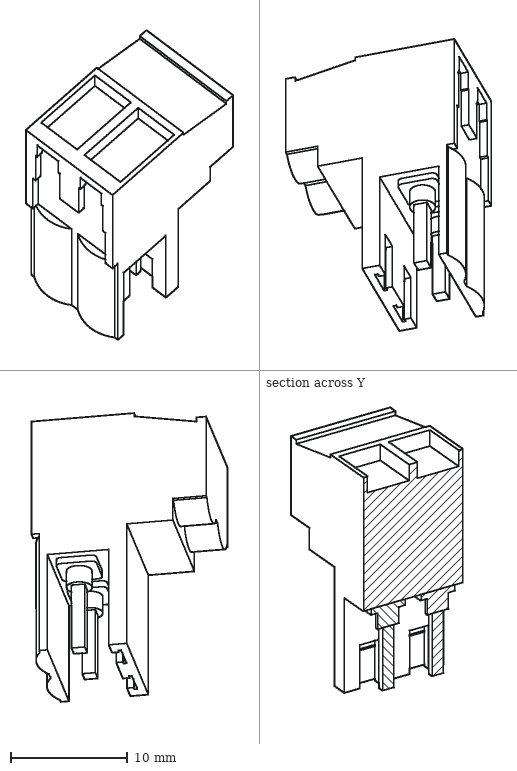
import cadquery as cq

WIDTH = 10.17
DEPTH = 15.3
HEIGHT = 22.05

POLE_COUNT = 2
POLE_PITCH = 5.07
POLE_CENTERS = [WIDTH / 2 + (i - (POLE_COUNT - 1) / 2) * POLE_PITCH for i in range(POLE_COUNT)]

LEG_FACE_Y = 0.68
FRONT_LEG_INNER_Y = 1.41
REAR_LEG_INNER_Y = 6.77
REAR_LEG_OUTER_Y = 8.35
LEG_ROOF_Z = 9.15
FRONT_LEDGE_Z = 11.22
BODY_BOTTOM_Z = 11.47
TAIL_Y = 12.4
TAIL_BOTTOM_Z = 13.54
LIP_Z = 21.15
LIP_Y = DEPTH - 0.85
SLOPE_LOW_Z = 20.75
SLOPE_HIGH_Z = 21.75
TOP_REAR_Y = 9.0

BUMP_WIDTH = 4.37
TAIL_BUMP_DROP = 1.17

POCKET_WIDTH = 4.21
POCKET_FRONT_Y = 1.48
POCKET_REAR_Y = 8.3
POCKET_DEPTH = 1.55

RECESS_WIDTH = 8.51
RECESS_SHOULDER_Z = 15.68
FINGER_WIDTH = 2.82
FINGER_STEP_Z = 19.32
FINGER_TIP_WIDTH = 2.47
FINGER_TOP_Z = 21.04
FINGER_PITCH = 5.05

SLOT_MOUTH_WIDTH = 1.9
SLOT_MOUTH_DEPTH = 0.6
SLOT_HEIGHT = 4.2
SLOT_CHAMBER_WIDTH = 2.55
SLOT_DEPTH = 0.85
CATCH_DEPTH = 1.1
CATCH_FLOOR_Z = 3.15

CONTACT_Y = 3.73
FLANGE_SIZE = 3.5
FLANGE_CORNER_RADIUS = 0.45
FLANGE_BOTTOM_Z = 8.58
COLLAR_DIAMETER = 2.2
COLLAR_BOTTOM_Z = 7.01

PIN_SIZE = 1.17
PIN_BOTTOM_Z = 0.97


def box(x0, x1, y0, y1, z0, z1):
    return cq.Workplane("XY").box(x1 - x0, y1 - y0, z1 - z0, centered=False).translate((x0, y0, z0))


def housing_block():
    profile = [
        (0, HEIGHT), (TOP_REAR_Y, HEIGHT), (TOP_REAR_Y, SLOPE_HIGH_Z), (LIP_Y, SLOPE_LOW_Z),
        (LIP_Y, LIP_Z), (DEPTH, LIP_Z), (DEPTH, TAIL_BOTTOM_Z), (TAIL_Y, TAIL_BOTTOM_Z),
        (TAIL_Y, BODY_BOTTOM_Z), (REAR_LEG_OUTER_Y, BODY_BOTTOM_Z), (REAR_LEG_OUTER_Y, 0),
        (REAR_LEG_INNER_Y, 0), (REAR_LEG_INNER_Y, LEG_ROOF_Z), (FRONT_LEG_INNER_Y, LEG_ROOF_Z),
        (FRONT_LEG_INNER_Y, 0), (LEG_FACE_Y, 0), (LEG_FACE_Y, FRONT_LEDGE_Z), (0, FRONT_LEDGE_Z),
    ]
    return cq.Workplane("YZ").polyline(profile).close().extrude(WIDTH)


def finger(x, width, top):
    return box(x - width / 2, x + width / 2, 0, LEG_FACE_Y, FRONT_LEDGE_Z, top)


def front_recess():
    recess = finger(WIDTH / 2, RECESS_WIDTH, RECESS_SHOULDER_Z)
    for side in (-1, 1):
        x = WIDTH / 2 + side * FINGER_PITCH / 2
        recess = recess.union(finger(x, FINGER_WIDTH, FINGER_STEP_Z))
        recess = recess.union(finger(x, FINGER_TIP_WIDTH, FINGER_TOP_Z))
    return recess


def front_bump(x):
    return (cq.Workplane("XY").moveTo(x - BUMP_WIDTH / 2, LEG_FACE_Y)
            .threePointArc((x, 0), (x + BUMP_WIDTH / 2, LEG_FACE_Y)).close().extrude(FRONT_LEDGE_Z))


def tail_bump(x):
    return (cq.Workplane("XZ", origin=(0, TAIL_Y, 0)).moveTo(x - BUMP_WIDTH / 2, TAIL_BOTTOM_Z)
            .threePointArc((x, TAIL_BOTTOM_Z - TAIL_BUMP_DROP), (x + BUMP_WIDTH / 2, TAIL_BOTTOM_Z))
            .close().extrude(TAIL_Y - DEPTH))


def top_pocket(x):
    return box(x - POCKET_WIDTH / 2, x + POCKET_WIDTH / 2, POCKET_FRONT_Y, POCKET_REAR_Y,
               HEIGHT - POCKET_DEPTH, HEIGHT)


def slot_part(x, width, depth_start, depth_end, bottom):
    return box(x - width / 2, x + width / 2, REAR_LEG_INNER_Y + depth_start,
               REAR_LEG_INNER_Y + depth_end, bottom, SLOT_HEIGHT)


def leg_slot(x):
    mouth = slot_part(x, SLOT_MOUTH_WIDTH, 0, SLOT_MOUTH_DEPTH, 0)
    chamber = slot_part(x, SLOT_CHAMBER_WIDTH, SLOT_MOUTH_DEPTH, SLOT_DEPTH, 0)
    catch = slot_part(x, SLOT_CHAMBER_WIDTH, SLOT_DEPTH, CATCH_DEPTH, CATCH_FLOOR_Z)
    return mouth.union(chamber).union(catch)


def make_housing():
    body = housing_block().cut(front_recess())
    for x in POLE_CENTERS:
        body = body.union(front_bump(x)).union(tail_bump(x))
        body = body.cut(top_pocket(x)).cut(leg_slot(x))
    return body


def make_sleeve(x):
    flange = (cq.Workplane("XY", origin=(x, CONTACT_Y, FLANGE_BOTTOM_Z)).rect(FLANGE_SIZE, FLANGE_SIZE)
              .extrude(LEG_ROOF_Z - FLANGE_BOTTOM_Z).edges("|Z").fillet(FLANGE_CORNER_RADIUS))
    collar = (cq.Workplane("XY", origin=(x, CONTACT_Y, COLLAR_BOTTOM_Z)).circle(COLLAR_DIAMETER / 2)
              .extrude(FLANGE_BOTTOM_Z - COLLAR_BOTTOM_Z))
    return flange.union(collar)


def make_pin(x):
    return (cq.Workplane("XY", origin=(x, CONTACT_Y, PIN_BOTTOM_Z)).rect(PIN_SIZE, PIN_SIZE)
            .extrude(COLLAR_BOTTOM_Z - PIN_BOTTOM_Z))


housing = make_housing()
sleeves = [make_sleeve(x) for x in POLE_CENTERS]
pins = [make_pin(x) for x in POLE_CENTERS]
result = cq.Compound.makeCompound([housing.val(), *[s.val() for s in sleeves], *[p.val() for p in pins]])